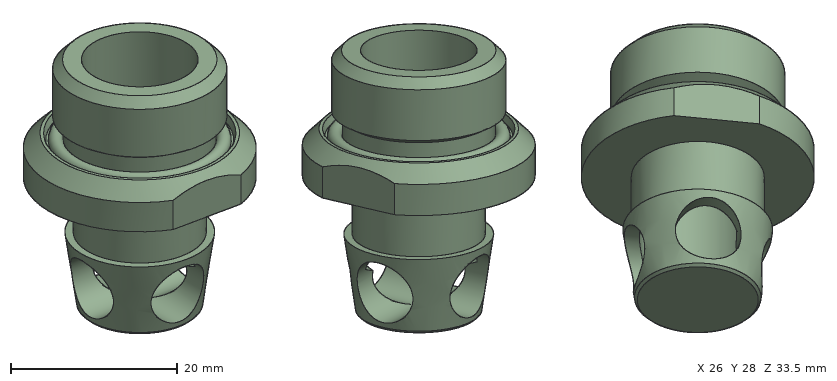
import cadquery as cq
import math

total_height = 33.5
flange_bottom = 17.5
flange_top = 23.5
thread_bottom = 25.8
cage_top = 10.0

thread_radius = 20.97 / 2
neck_radius = 18.4 / 2
flange_radius = 28.0 / 2
shaft_radius = 16.0 / 2
cage_top_radius = 9.0
cage_bottom_radius = 7.6

thread_chamfer = 1.2
thread_runout_angle = math.radians(30)
flange_chamfer = 2.0
bottom_chamfer = 0.35

flats_width = 26.0

groove_top_radius = 11.55
groove_floor_radius = 11.3
groove_depth = 0.97
ring_section_radius = 0.9
ring_recess = 0.07

bore_radius = 14.0 / 2
bore_floor = 6.5
drill_point_angle = math.radians(120)

side_hole_diameter = 8.0
side_hole_height = 5.0


def revolve_profile(points):
    """Revolve a closed (radius, height) outline about the Z axis."""
    return cq.Workplane("XZ").polyline(points).close().revolve(360, (0, 0, 0), (0, 1, 0))


def make_body():
    runout_height = (thread_radius - neck_radius) * math.tan(thread_runout_angle)
    return revolve_profile([
        (0, 0),
        (cage_bottom_radius - bottom_chamfer, 0),
        (cage_bottom_radius, bottom_chamfer),
        (cage_top_radius, cage_top),
        (shaft_radius, cage_top),
        (shaft_radius, flange_bottom),
        (flange_radius, flange_bottom),
        (flange_radius, flange_top - flange_chamfer),
        (flange_radius - flange_chamfer, flange_top),
        (neck_radius, flange_top),
        (neck_radius, thread_bottom - runout_height),
        (thread_radius, thread_bottom),
        (thread_radius, total_height - thread_chamfer),
        (thread_radius - thread_chamfer, total_height),
        (0, total_height),
    ])


def make_flats_envelope():
    """Box that keeps the material between the two flange flats."""
    return cq.Workplane("XY").box(
        flats_width, 2 * flange_radius, total_height, centered=(True, True, False)
    )


def make_seal_groove():
    groove_floor = flange_top - groove_depth
    return revolve_profile([
        (neck_radius, groove_floor),
        (groove_floor_radius, groove_floor),
        (groove_top_radius, flange_top),
        (neck_radius, flange_top),
    ])


def make_sealing_ring():
    """Round ring that touches the neck and lies just below the flange top."""
    center_radius = neck_radius + ring_section_radius
    center_height = flange_top - ring_recess - ring_section_radius
    return (
        cq.Workplane("XZ")
        .center(center_radius, center_height)
        .circle(ring_section_radius)
        .revolve(360, (-center_radius, 0, 0), (-center_radius, 1, 0))
    )


def make_bore():
    point_depth = bore_radius / math.tan(drill_point_angle / 2)
    return revolve_profile([
        (0, bore_floor - point_depth),
        (bore_radius, bore_floor),
        (bore_radius, total_height),
        (0, total_height),
    ])


def make_side_hole(plane):
    """Hole through the whole cage, along the normal of the given plane."""
    return (
        cq.Workplane(plane)
        .center(0, side_hole_height)
        .circle(side_hole_diameter / 2)
        .extrude(flange_radius, both=True)
    )


result = make_body().intersect(make_flats_envelope())
result = result.cut(make_seal_groove())
result = result.union(make_sealing_ring())
result = result.cut(make_bore())
for plane in ("XZ", "YZ"):
    result = result.cut(make_side_hole(plane))